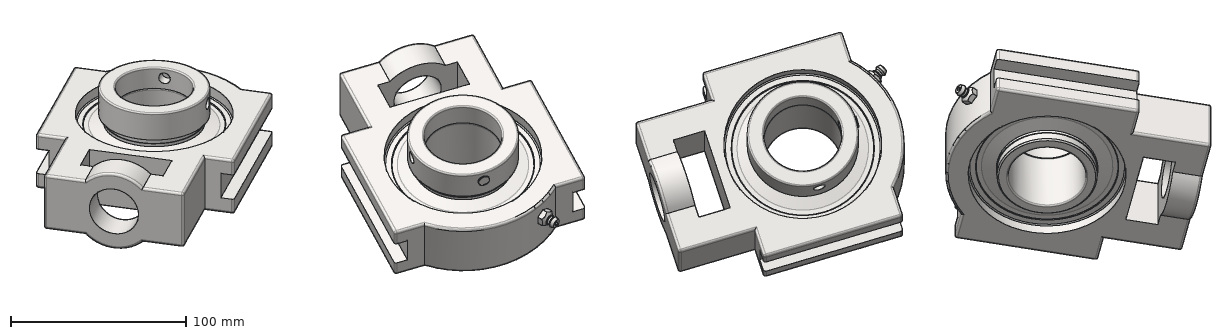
import cadquery as cq
import math


TOLERANCE = 0.01

HOUSING_WIDTH = 117.0
HOUSING_THICKNESS = 35.0
MOUTH_DIAMETER = 89.9
MOUTH_BEVEL_HEIGHT = 0.5
ARM_HALF_LENGTH = 41.5
CROWN_RADIUS = 57.9
STEM_WIDTH = 82.5
STEM_END_Y = -87.0
EDGE_FILLET = 1.5

GUIDE_SLOT_WIDTH = 15.9
GUIDE_SLOT_DEPTH = 7.8

WINDOW_WIDTH = 48.8
WINDOW_FAR_Y = -51.0
WINDOW_NEAR_Y = -69.6
BOSS_DIAMETER = 48.8
BOSS_HOLE_DIAMETER = 29.0

OUTER_RING_DIAMETER = 88.1
OUTER_RING_BORE = 80.8
OUTER_RING_BORE_CHAMFER = 0.5
OUTER_RING_HEIGHT = 21.5

BORE_DIAMETER = 44.5
BORE_FILLET = 0.9
SHOULDER_DIAMETER = 57.1
SHOULDER_CHAMFER = 0.9
INNER_RING_BOTTOM_Z = -19.2
NECK_DIAMETER = 50.2
INNER_RING_TOP_Z = 21.5

SEAL_STEP_DIAMETER = 74.9
SEAL_RECESS = 0.5
SEAL_RISE = 1.5
SEAL_LIP_DIAMETER = 57.9
SEAL_LIP_HEIGHT = 1.9
SEAL_THICKNESS = 2.2

COLLAR_DIAMETER = 63.5
COLLAR_BOTTOM_Z = 17.6
COLLAR_TOP_Z = 35.0
COLLAR_FILLET = 0.9
SCREW_DIAMETER = 6.8
SCREW_Z = 28.5
SCREW_INNER_RADIUS = 29.0
SCREW_PROTRUSION = 0.7
SPANNER_HOLE_DEPTH = 4.4

NIPPLE_ANGLE = 30.0
NIPPLE_Z = 5.6
NIPPLE_ROLL = 90.0
HEX_ACROSS_FLATS = 8.8
HEX_CORNER_HEIGHT = 2.8
HEX_CONE_TOP = 4.7
LAND_DIAMETER = 6.0
LAND_TOP = 5.3
NIPPLE_NECK_DIAMETER = 5.0
NIPPLE_NECK_TOP = 6.6
NIPPLE_HEAD_DIAMETER = 6.8
NIPPLE_HEAD_WIDEST = 7.6
NIPPLE_TIP_DIAMETER = 5.3
NIPPLE_LENGTH = 9.8
NIPPLE_HOLE_DIAMETER = 2.2
NIPPLE_HOLE_DEPTH = 2.2


def disc(diameter, bottom_z, top_z):
    """Solid cylinder on the bearing axis."""
    return cq.Workplane("XY").workplane(offset=bottom_z).circle(diameter / 2).extrude(top_z - bottom_z)


def revolved(profile):
    """Revolve a closed list of (radius, height) points about the Z axis."""
    return cq.Workplane("XZ").polyline(profile).close().revolve(360, (0, 0), (0, 1))


def plate(width, near_y, far_y, thickness):
    """Block centred on X = 0 and Z = 0 between two Y positions."""
    return cq.Workplane("XY").box(width, far_y - near_y, thickness).translate((0, (near_y + far_y) / 2, 0))


def convex_corner(edge):
    """True for an upright edge at an outer corner of the arms or the stem."""
    centre = edge.Center()
    at_arm_end = abs(abs(centre.x) - HOUSING_WIDTH / 2) < TOLERANCE
    at_stem_end = abs(centre.y - STEM_END_Y) < TOLERANCE
    return at_arm_end or at_stem_end


def housing_slab():
    """Arms, crown and stem as one plate with rounded outer edges."""
    half_width = HOUSING_WIDTH / 2
    half_stem = STEM_WIDTH / 2
    crown_x = math.sqrt(CROWN_RADIUS**2 - ARM_HALF_LENGTH**2)
    slab = (
        cq.Workplane("XY")
        .workplane(offset=-HOUSING_THICKNESS / 2)
        .moveTo(-half_stem, STEM_END_Y)
        .lineTo(half_stem, STEM_END_Y)
        .lineTo(half_stem, -ARM_HALF_LENGTH)
        .lineTo(half_width, -ARM_HALF_LENGTH)
        .lineTo(half_width, ARM_HALF_LENGTH)
        .lineTo(crown_x, ARM_HALF_LENGTH)
        .threePointArc((0, CROWN_RADIUS), (-crown_x, ARM_HALF_LENGTH))
        .lineTo(-half_width, ARM_HALF_LENGTH)
        .lineTo(-half_width, -ARM_HALF_LENGTH)
        .lineTo(-half_stem, -ARM_HALF_LENGTH)
        .close()
        .extrude(HOUSING_THICKNESS)
    )
    corners = slab.edges("|Z").filter(convex_corner)
    rims = slab.faces("|Z").edges()
    return rims.add(corners).fillet(EDGE_FILLET)


def bearing_opening():
    """Seat for the outer ring, with a wider mouth and a narrow bevel at each end."""
    seat_radius = OUTER_RING_DIAMETER / 2
    mouth_radius = MOUTH_DIAMETER / 2
    bevel_start = OUTER_RING_HEIGHT / 2
    bevel_end = bevel_start + MOUTH_BEVEL_HEIGHT
    face = HOUSING_THICKNESS / 2
    return revolved(
        [
            (0, -face),
            (mouth_radius, -face),
            (mouth_radius, -bevel_end),
            (seat_radius, -bevel_start),
            (seat_radius, bevel_start),
            (mouth_radius, bevel_end),
            (mouth_radius, face),
            (0, face),
        ]
    )


def make_housing():
    boss_length = WINDOW_NEAR_Y - STEM_END_Y
    boss = (
        cq.Workplane("XZ", origin=(0, WINDOW_NEAR_Y, 0))
        .circle(BOSS_DIAMETER / 2)
        .extrude(boss_length)
        .faces("<Y")
        .edges()
        .fillet(EDGE_FILLET)
    )
    boss_hole = (
        cq.Workplane("XZ", origin=(0, WINDOW_NEAR_Y, 0))
        .circle(BOSS_HOLE_DIAMETER / 2)
        .extrude(boss_length)
    )
    window = plate(WINDOW_WIDTH, WINDOW_NEAR_Y, WINDOW_FAR_Y, HOUSING_THICKNESS)
    housing = housing_slab().union(boss).cut(boss_hole).cut(window).cut(bearing_opening())

    slot = plate(2 * GUIDE_SLOT_DEPTH, -ARM_HALF_LENGTH, ARM_HALF_LENGTH, GUIDE_SLOT_WIDTH)
    for side in (-1, 1):
        housing = housing.cut(slot.translate((side * HOUSING_WIDTH / 2, 0, 0)))
    return housing


def make_outer_ring():
    half_height = OUTER_RING_HEIGHT / 2
    ring = disc(OUTER_RING_DIAMETER, -half_height, half_height)
    ring = ring.cut(disc(OUTER_RING_BORE, -half_height, half_height))
    bore_rims = ring.faces("|Z").edges(cq.selectors.RadiusNthSelector(0))
    return bore_rims.chamfer(OUTER_RING_BORE_CHAMFER)


def make_inner_ring():
    shoulder = disc(SHOULDER_DIAMETER, INNER_RING_BOTTOM_Z, COLLAR_BOTTOM_Z)
    shoulder = shoulder.faces("<Z").edges().chamfer(SHOULDER_CHAMFER)
    neck = disc(NECK_DIAMETER, COLLAR_BOTTOM_Z, INNER_RING_TOP_Z)
    bore = disc(BORE_DIAMETER, INNER_RING_BOTTOM_Z, INNER_RING_TOP_Z)
    ring = shoulder.union(neck).cut(bore)
    return ring.edges(cq.selectors.RadiusNthSelector(0)).fillet(BORE_FILLET)


def make_seal(side):
    """Seal ring with a coned face and a raised inner lip, at the top (side 1) or the bottom (side -1)."""
    outer_face = OUTER_RING_HEIGHT / 2 - SEAL_RECESS
    cone_top = outer_face + SEAL_RISE
    lip_top = cone_top + SEAL_LIP_HEIGHT
    inner_face = outer_face - SEAL_THICKNESS
    inner_radius = SHOULDER_DIAMETER / 2
    profile = [
        (inner_radius, side * inner_face),
        (OUTER_RING_BORE / 2, side * inner_face),
        (OUTER_RING_BORE / 2, side * outer_face),
        (SEAL_STEP_DIAMETER / 2, side * outer_face),
        (SEAL_LIP_DIAMETER / 2, side * cone_top),
        (SEAL_LIP_DIAMETER / 2, side * lip_top),
        (inner_radius, side * lip_top),
    ]
    return revolved(profile)


def radial_cylinder(inner_radius, outer_radius):
    """Cylinder of the screw diameter pointing along +Y at the screw height."""
    return (
        cq.Workplane("XZ", origin=(0, inner_radius, SCREW_Z))
        .circle(SCREW_DIAMETER / 2)
        .extrude(inner_radius - outer_radius)
    )


def make_collar():
    """Locking collar over the inner ring neck, with a screw hole at +Y and a blind spanner hole at +X."""
    collar = disc(COLLAR_DIAMETER, COLLAR_BOTTOM_Z, COLLAR_TOP_Z)
    collar = collar.cut(disc(BORE_DIAMETER, COLLAR_BOTTOM_Z, COLLAR_TOP_Z))
    collar = collar.faces(">Z").edges().fillet(COLLAR_FILLET)
    collar = collar.cut(disc(NECK_DIAMETER, COLLAR_BOTTOM_Z, INNER_RING_TOP_Z))
    spanner_hole = (
        cq.Workplane("YZ", origin=(COLLAR_DIAMETER / 2 - SPANNER_HOLE_DEPTH, 0, SCREW_Z))
        .circle(SCREW_DIAMETER / 2)
        .extrude(SPANNER_HOLE_DEPTH)
    )
    return collar.cut(radial_cylinder(0, COLLAR_DIAMETER)).cut(spanner_hole)


def make_set_screw():
    return radial_cylinder(SCREW_INNER_RADIUS, COLLAR_DIAMETER / 2 + SCREW_PROTRUSION)


def make_grease_nipple():
    """Hexagon with a coned top, neck and head along a radial line, seated on the crown of the housing."""
    hexagon_diameter = HEX_ACROSS_FLATS / math.cos(math.pi / 6)
    sink = CROWN_RADIUS - math.sqrt(CROWN_RADIUS**2 - (hexagon_diameter / 2) ** 2)
    profile = [
        (0, -sink),
        (hexagon_diameter / 2, -sink),
        (hexagon_diameter / 2, HEX_CORNER_HEIGHT),
        (LAND_DIAMETER / 2, HEX_CONE_TOP),
        (LAND_DIAMETER / 2, LAND_TOP),
        (NIPPLE_NECK_DIAMETER / 2, LAND_TOP),
        (NIPPLE_NECK_DIAMETER / 2, NIPPLE_NECK_TOP),
        (NIPPLE_HEAD_DIAMETER / 2, NIPPLE_HEAD_WIDEST),
        (NIPPLE_TIP_DIAMETER / 2, NIPPLE_LENGTH),
        (0, NIPPLE_LENGTH),
    ]
    hexagon = (
        cq.Workplane("XY")
        .workplane(offset=-sink)
        .polygon(6, hexagon_diameter)
        .extrude(NIPPLE_LENGTH + sink)
    )
    hole = disc(NIPPLE_HOLE_DIAMETER, NIPPLE_LENGTH - NIPPLE_HOLE_DEPTH, NIPPLE_LENGTH)
    nipple = (
        hexagon.intersect(revolved(profile))
        .cut(hole)
        .rotate((0, 0, 0), (1, 0, 0), -90)
        .rotate((0, 0, 0), (0, 1, 0), NIPPLE_ROLL)
        .translate((0, CROWN_RADIUS, NIPPLE_Z))
        .rotate((0, 0, 0), (0, 0, 1), NIPPLE_ANGLE)
    )
    return nipple.cut(disc(2 * CROWN_RADIUS, -HOUSING_THICKNESS / 2, HOUSING_THICKNESS / 2))


housing = make_housing()
outer_ring = make_outer_ring()
inner_ring = make_inner_ring()
seals = [make_seal(side) for side in (1, -1)]
collar = make_collar()
set_screw = make_set_screw()
grease_nipple = make_grease_nipple()

result = cq.Compound.makeCompound(
    [
        housing.val(),
        outer_ring.val(),
        inner_ring.val(),
        *[seal.val() for seal in seals],
        collar.val(),
        set_screw.val(),
        grease_nipple.val(),
    ]
)